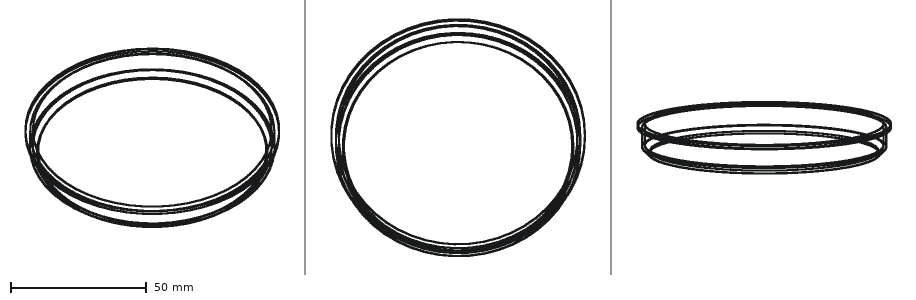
import cadquery as cq

rim_diameter = 93.5
body_diameter = 90.0
bore_diameter = 88.0
total_height = 11.0
rim_thickness = 1.2

wall = (body_diameter - bore_diameter) / 2
floor_thickness = wall

outer_chamfer = 2.5
inner_chamfer = 2.0


def disc(diameter, bottom, top):
    """Solid disc on the Z axis between two heights."""
    return cq.Workplane("XY").workplane(offset=bottom).circle(diameter / 2).extrude(top - bottom)


body = disc(body_diameter, 0, total_height).faces("<Z").edges().chamfer(outer_chamfer)

rim = disc(rim_diameter, total_height - rim_thickness, total_height)

cavity = disc(bore_diameter, floor_thickness, total_height).faces("<Z").edges().chamfer(inner_chamfer)

result = body.union(rim).cut(cavity)